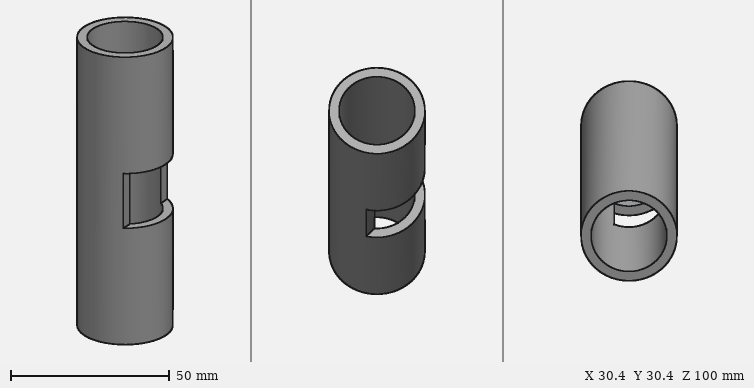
import cadquery as cq

length = 100.0
outer_diameter = 30.4
inner_diameter = 24.0

window_height = 19.0
window_floor_x = outer_diameter / 4

tube = (
    cq.Workplane("XY")
    .circle(outer_diameter / 2)
    .circle(inner_diameter / 2)
    .extrude(length)
)

window = (
    cq.Workplane("XY")
    .box(outer_diameter, outer_diameter, window_height, centered=(False, True, True))
    .translate((window_floor_x, 0, length / 2))
)

result = tube.cut(window)